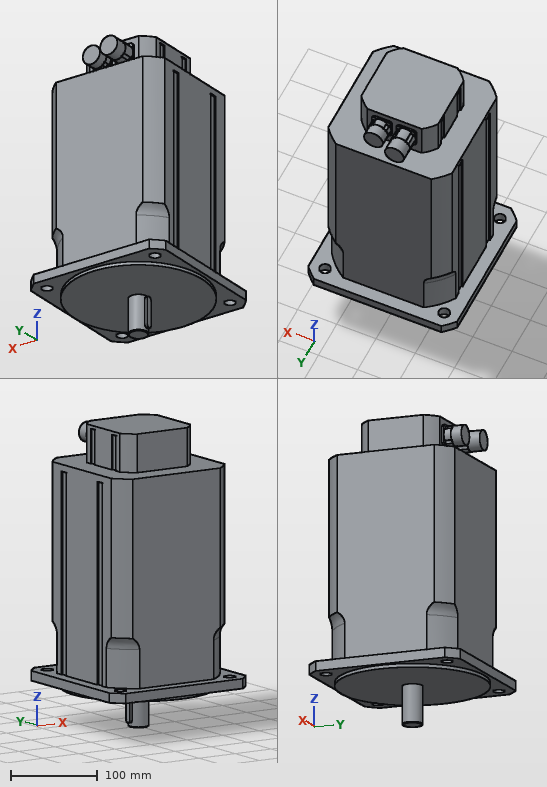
import cadquery as cq
import math

PILOT_BOTTOM = 46.0
FLANGE_BOTTOM = 50.5
FLANGE_TOP = 62.0
BODY_TOP = 309.5
CAP_TOP = 355.0

FLANGE_SIDE = 190.0
FLANGE_CORNER_DIAMETER = 250.0
BODY_SIDE = 158.0
BODY_CORNER_DIAMETER = 199.5
CAP_SIDE = 98.0
CAP_CORNER_DIAMETER = 120.0

PILOT_DIAMETER = 180.0
BOLT_HOLE_DIAMETER = 13.5
BOLT_SPACING = 152.0

RELIEF_DIAMETER = 188.5
COVE_BOTTOM = 108.3
COVE_TOP = 122.0

GROOVE_DEPTH = 1.8
BODY_GROOVE_WIDTH = 10.0
BODY_GROOVE_SPACING = 75.0
BODY_GROOVE_TOP_GAP = 8.5
CAP_GROOVE_WIDTH = 9.0
CAP_GROOVE_SPACING = 44.0
CAP_GROOVE_TOP_GAP = 4.3

SHAFT_DIAMETER = 24.0
SHAFT_CHAMFER = 1.0
KEY_WIDTH = 7.8
KEY_BOTTOM = 5.0
KEY_TOP = 45.0
KEY_REACH = 15.0

CONNECTOR_SPACING = 31.2
CONNECTOR_DROP = 20.2
GRIP_DIAMETER = 25.0
BASE_SIDE = GRIP_DIAMETER
BASE_CORNER_DIAMETER = 31.5
BASE_LENGTH = 2.5
PLUG_DIAMETER = 24.0
GRIP_GROOVE_DIAMETER = 4.5
GRIP_GROOVE_COUNT = 4
LONG_GRIP_END = 17.5
LONG_PLUG_END = 33.7
SHORT_GRIP_END = 11.0
SHORT_PLUG_END = 24.0


def rounded_square(side, corner_diameter, length):
    """A square prism standing on Z = 0 with its corners cut to a coaxial circle."""
    square = cq.Workplane("XY").rect(side, side).extrude(length)
    cylinder = cq.Workplane("XY").circle(corner_diameter / 2).extrude(length)
    return square.intersect(cylinder)


def cylinder_between(diameter, bottom, top):
    return cq.Workplane("XY").workplane(offset=bottom).circle(diameter / 2).extrude(top - bottom)


def make_flange():
    plate = rounded_square(FLANGE_SIDE, FLANGE_CORNER_DIAMETER, FLANGE_TOP - FLANGE_BOTTOM)
    plate = (
        plate.faces(">Z").workplane()
        .rect(BOLT_SPACING, BOLT_SPACING, forConstruction=True).vertices()
        .hole(BOLT_HOLE_DIAMETER)
        .translate((0, 0, FLANGE_BOTTOM))
    )
    return plate.union(cylinder_between(PILOT_DIAMETER, PILOT_BOTTOM, FLANGE_BOTTOM))


def make_corner_relief():
    """A ring around the lower body whose inner wall flares out in a cove at the top."""
    inner = RELIEF_DIAMETER / 2
    outer = BODY_CORNER_DIAMETER / 2
    flare = outer - inner
    rise = COVE_TOP - COVE_BOTTOM
    cove_radius = (flare**2 + rise**2) / (2 * flare)
    half_sweep = math.asin(rise / cove_radius) / 2
    arc_middle = (
        inner + cove_radius * (1 - math.cos(half_sweep)),
        COVE_BOTTOM + cove_radius * math.sin(half_sweep),
    )
    ring_outer = BODY_SIDE
    return (
        cq.Workplane("XZ")
        .moveTo(inner, FLANGE_TOP)
        .lineTo(inner, COVE_BOTTOM)
        .threePointArc(arc_middle, (outer, COVE_TOP))
        .lineTo(ring_outer, COVE_TOP)
        .lineTo(ring_outer, FLANGE_TOP)
        .close()
        .revolve(360, (0, 0, 0), (0, 1, 0))
    )


def make_side_grooves(side, bottom, top, width, spacing):
    return (
        cq.Workplane("XY").workplane(offset=bottom)
        .pushPoints([(-side / 2, -spacing / 2), (-side / 2, spacing / 2)])
        .rect(2 * GROOVE_DEPTH, width)
        .extrude(top - bottom)
    )


def make_body():
    body = rounded_square(BODY_SIDE, BODY_CORNER_DIAMETER, BODY_TOP - FLANGE_TOP)
    body = body.translate((0, 0, FLANGE_TOP)).cut(make_corner_relief())
    groove_top = BODY_TOP - BODY_GROOVE_TOP_GAP
    return body.cut(
        make_side_grooves(BODY_SIDE, FLANGE_TOP, groove_top, BODY_GROOVE_WIDTH, BODY_GROOVE_SPACING)
    )


def make_cap():
    cap = rounded_square(CAP_SIDE, CAP_CORNER_DIAMETER, CAP_TOP - BODY_TOP)
    cap = cap.translate((0, 0, BODY_TOP))
    groove_top = CAP_TOP - CAP_GROOVE_TOP_GAP
    return cap.cut(
        make_side_grooves(CAP_SIDE, BODY_TOP, groove_top, CAP_GROOVE_WIDTH, CAP_GROOVE_SPACING)
    )


def make_keyed_shaft():
    shaft = cylinder_between(SHAFT_DIAMETER, 0, PILOT_BOTTOM).faces("<Z").chamfer(SHAFT_CHAMFER)
    key = (
        cq.Workplane("YZ")
        .center(0, (KEY_BOTTOM + KEY_TOP) / 2)
        .slot2D(KEY_TOP - KEY_BOTTOM, KEY_WIDTH, 90)
        .extrude(-KEY_REACH)
    )
    return shaft.union(key)


def make_motor():
    return make_flange().union(make_body()).union(make_cap()).union(make_keyed_shaft())


def make_connector(x, grip_end, plug_end):
    """A grooved round connector on a rounded square base, pointing along +Y from the cap."""
    base = rounded_square(BASE_SIDE, BASE_CORNER_DIAMETER, BASE_LENGTH)
    grip = cylinder_between(GRIP_DIAMETER, BASE_LENGTH, grip_end)
    grip_grooves = (
        cq.Workplane("XY").workplane(offset=BASE_LENGTH)
        .polarArray(GRIP_DIAMETER / 2, 180 / GRIP_GROOVE_COUNT, 360, GRIP_GROOVE_COUNT)
        .circle(GRIP_GROOVE_DIAMETER / 2)
        .extrude(grip_end - BASE_LENGTH)
    )
    plug = cylinder_between(PLUG_DIAMETER, grip_end, plug_end)
    connector = base.union(grip.cut(grip_grooves)).union(plug)
    return (
        connector.rotate((0, 0, 0), (1, 0, 0), -90)
        .translate((x, CAP_SIDE / 2, CAP_TOP - CONNECTOR_DROP))
    )


motor = make_motor()

connector_sizes = [
    (-CONNECTOR_SPACING / 2, LONG_GRIP_END, LONG_PLUG_END),
    (CONNECTOR_SPACING / 2, SHORT_GRIP_END, SHORT_PLUG_END),
]
connectors = [make_connector(*sizes) for sizes in connector_sizes]

result = cq.Compound.makeCompound([motor.val(), *[connector.val() for connector in connectors]])